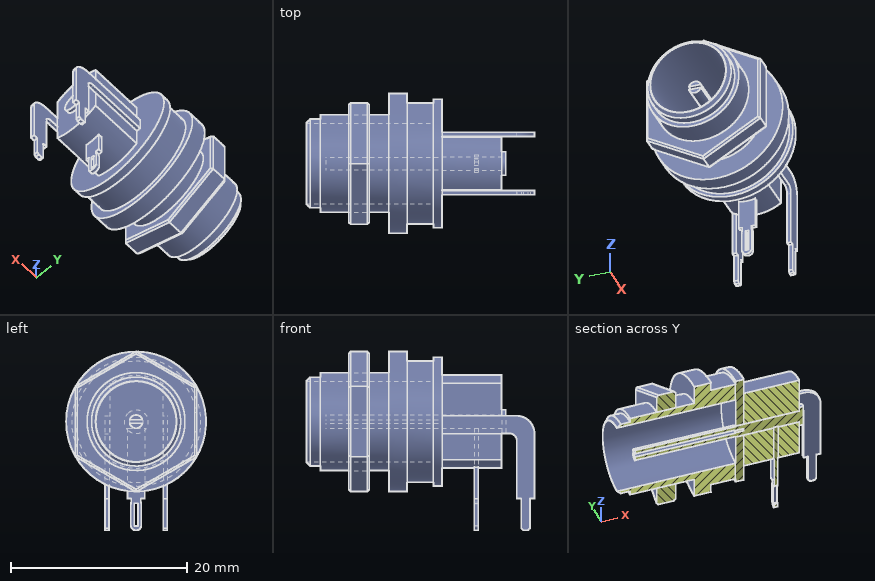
import cadquery as cq
import math


rim_chamfer = 0.45
thread_start_x = 1.58
nut_start_x = 4.8
nut_thickness = 2.35
flange_start_x = 9.38
flange_thickness = 2.05
disc_start_x = 14.4
disc_thickness = 1.0
block_length = 6.73
pin_head_thickness = 0.5
overall_length = 25.9

skirt_start_x = flange_start_x + flange_thickness
disc_end_x = disc_start_x + disc_thickness
block_end_x = disc_end_x + block_length

nose_diameter = 10.1
bore_diameter = 9.12
thread_diameter = 11.1
flange_diameter = 15.9
skirt_diameter = 13.78
disc_diameter = 14.63
block_diameter = 10.57
pin_diameter = 1.5
pin_head_diameter = 2.7

nut_across_flats = 13.78
nut_chamfer = 0.23

pin_tip_x = 2.18
pin_slot_width = 0.4

block_width = 6.0

sheet_thickness = 0.5
shoulder_z = -8.73
terminal_bottom_z = -12.35

side_terminal_gap = 0.05
arm_width = 2.05
arm_top_z = 0.67
bend_outer_radius = 2.07
bend_inner_radius = 0.78
side_tail_width = 1.0
side_tail_chamfer = 0.25

centre_terminal_x = 19.04
centre_strip_width = 2.0
centre_tail_width = 1.22
centre_neck_width = 1.11
neck_length = 0.4
neck_taper_length = 0.23
tail_slot_width = 0.4
tail_slot_top_z = -9.27
tail_slot_bottom_z = -11.84


def cylinder(start_x, end_x, diameter):
    """Solid cylinder on the jack axis between two stations."""
    return cq.Workplane("YZ", origin=(start_x, 0, 0)).circle(diameter / 2).extrude(end_x - start_x)


def make_shell():
    """Threaded bushing with a chamfered nose, a flange, a rear skirt and a through bore."""
    nose = cylinder(0, thread_start_x, nose_diameter).faces("<X").chamfer(rim_chamfer)
    thread = cylinder(thread_start_x, flange_start_x, thread_diameter)
    flange = cylinder(flange_start_x, skirt_start_x, flange_diameter)
    skirt = cylinder(skirt_start_x, disc_start_x, skirt_diameter)
    bore = cylinder(0, disc_start_x, bore_diameter)
    return nose.union(thread).union(flange).union(skirt).cut(bore)


def make_nut():
    """Hexagon nut with two corners on the Z axis and chamfered rims."""
    across_corners = nut_across_flats / math.cos(math.pi / 6)
    hexagon = (
        cq.Workplane("YZ", origin=(nut_start_x, 0, 0))
        .transformed(rotate=(0, 0, 90))
        .polygon(6, across_corners)
        .extrude(nut_thickness)
        .faces("<X or >X")
        .chamfer(nut_chamfer)
    )
    return hexagon.cut(cylinder(nut_start_x, nut_start_x + nut_thickness, thread_diameter))


def make_disc(pin):
    """Disc that closes the rear of the shell, with one hole for each prong of the pin."""
    return cylinder(disc_start_x, disc_end_x, disc_diameter).cut(pin)


def make_block(centre_terminal):
    """Round block with two side flats, a hole for the pin and a slot for the centre terminal."""
    flats = cq.Workplane("XY").box(block_length, block_width, block_diameter)
    flats = flats.translate((disc_end_x + block_length / 2, 0, 0))
    block = cylinder(disc_end_x, block_end_x, block_diameter).intersect(flats)
    return block.cut(cylinder(disc_end_x, block_end_x, pin_diameter)).cut(centre_terminal)


def make_pin():
    """Contact pin in two prongs that join behind the disc, with a rivet head behind the block."""
    slot_length = disc_end_x - pin_tip_x
    shank = cylinder(pin_tip_x, block_end_x, pin_diameter)
    head = cylinder(block_end_x, block_end_x + pin_head_thickness, pin_head_diameter)
    slot = cq.Workplane("XY").box(slot_length, pin_diameter, pin_slot_width)
    slot = slot.translate((pin_tip_x + slot_length / 2, 0, 0))
    return shank.union(head).cut(slot)


def make_side_terminal(side):
    """Bent flat terminal beside the block; side is +1 or -1 along Y."""
    leg_left_x = overall_length - arm_width
    leg_centre_x = overall_length - arm_width / 2
    arm_bottom_z = arm_top_z - arm_width
    middle_y = side * (block_width / 2 + side_terminal_gap + sheet_thickness / 2)
    sheet = cq.Workplane("XZ", origin=(0, middle_y, 0))
    strip = (
        sheet.moveTo(disc_end_x, arm_top_z)
        .lineTo(overall_length - bend_outer_radius, arm_top_z)
        .radiusArc((overall_length, arm_top_z - bend_outer_radius), bend_outer_radius)
        .lineTo(overall_length, shoulder_z)
        .lineTo(leg_left_x, shoulder_z)
        .lineTo(leg_left_x, arm_bottom_z - bend_inner_radius)
        .radiusArc((leg_left_x - bend_inner_radius, arm_bottom_z), -bend_inner_radius)
        .lineTo(disc_end_x, arm_bottom_z)
        .close()
        .extrude(sheet_thickness / 2, both=True)
    )
    tail_length = shoulder_z - terminal_bottom_z
    tail = (
        sheet.center(leg_centre_x, shoulder_z - tail_length / 2)
        .rect(side_tail_width, tail_length)
        .extrude(sheet_thickness / 2, both=True)
        .edges("|Y and <Z")
        .chamfer(side_tail_chamfer)
    )
    return strip.union(tail)


def make_centre_terminal():
    """Flat terminal below the pin, with a stepped, round-ended tail that has a slot through it."""
    strip_top_z = -pin_diameter / 2
    half_strip = centre_strip_width / 2
    half_neck = centre_neck_width / 2
    half_tail = centre_tail_width / 2
    neck_end_z = shoulder_z - neck_length
    taper_end_z = neck_end_z - neck_taper_length
    round_start_z = terminal_bottom_z + half_tail
    outline = (
        cq.Workplane("YZ", origin=(centre_terminal_x, 0, 0))
        .moveTo(-half_strip, strip_top_z)
        .lineTo(half_strip, strip_top_z)
        .lineTo(half_strip, shoulder_z)
        .lineTo(half_neck, shoulder_z)
        .lineTo(half_neck, neck_end_z)
        .lineTo(half_tail, taper_end_z)
        .lineTo(half_tail, round_start_z)
        .threePointArc((0, terminal_bottom_z), (-half_tail, round_start_z))
        .lineTo(-half_tail, taper_end_z)
        .lineTo(-half_neck, neck_end_z)
        .lineTo(-half_neck, shoulder_z)
        .lineTo(-half_strip, shoulder_z)
        .close()
    )
    slot = (
        cq.Workplane("YZ", origin=(centre_terminal_x, 0, 0))
        .center(0, (tail_slot_top_z + tail_slot_bottom_z) / 2)
        .rect(tail_slot_width, tail_slot_top_z - tail_slot_bottom_z)
        .extrude(sheet_thickness)
    )
    return outline.extrude(sheet_thickness).cut(slot)


shell = make_shell()
nut = make_nut()
pin = make_pin()
disc = make_disc(pin)
centre_terminal = make_centre_terminal()
block = make_block(centre_terminal)
side_terminals = [make_side_terminal(side) for side in (-1, 1)]

result = cq.Compound.makeCompound([
    shell.val(),
    nut.val(),
    disc.val(),
    block.val(),
    pin.val(),
    centre_terminal.val(),
    *[terminal.val() for terminal in side_terminals],
])